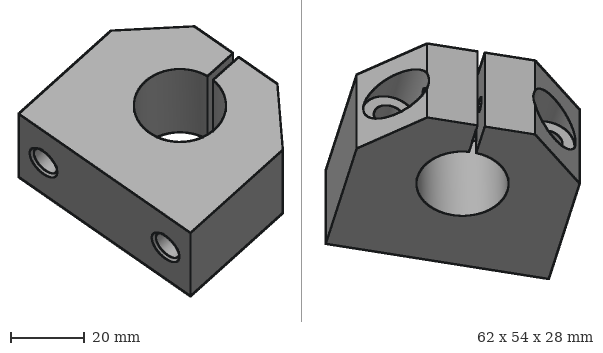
import cadquery as cq

width = 62.0
depth = 54.0
height = 28.0
corner_cut = 16.0
mid_height = height / 2

bore_diameter = 25.0
bore_center_y = 31.0
slot_width = 2.0

mounting_spacing = 44.0
mounting_diameter = 8.4
countersink_diameter = 10.0
countersink_depth = (countersink_diameter - mounting_diameter) / 2
counterbore_diameter = 15.0
counterbore_floor_y = depth - corner_cut

screw_diameter = 4.15
screw_from_back = 6.0


def make_block():
    """Block with its two back corners cut off at 45 degrees."""
    block = cq.Workplane("XY").box(width, depth, height, centered=(True, False, False))
    return block.edges("|Z and >Y").chamfer(corner_cut)


def make_bore_and_slot():
    """Vertical shaft bore, opened to the back face by the slot."""
    bore = cq.Workplane("XY").center(0, bore_center_y).circle(bore_diameter / 2).extrude(height)
    slot = (
        cq.Workplane("XY")
        .center(0, bore_center_y)
        .box(slot_width, depth - bore_center_y, height, centered=(True, False, False))
    )
    return bore.union(slot)


def make_mounting_hole(x):
    """Revolved hole: countersunk at the front, counterbored from the back."""
    hole_radius = mounting_diameter / 2
    counterbore_radius = counterbore_diameter / 2
    profile = (
        cq.Workplane("XY")
        .moveTo(0, 0)
        .lineTo(countersink_diameter / 2, 0)
        .lineTo(hole_radius, countersink_depth)
        .lineTo(hole_radius, counterbore_floor_y)
        .lineTo(counterbore_radius, counterbore_floor_y)
        .lineTo(counterbore_radius, depth)
        .lineTo(0, depth)
        .close()
    )
    return profile.revolve(360, (0, 0, 0), (0, 1, 0)).translate((x, 0, mid_height))


def make_screw_hole():
    """Clamp screw hole through both jaws."""
    return (
        cq.Workplane("YZ")
        .center(depth - screw_from_back, mid_height)
        .circle(screw_diameter / 2)
        .extrude(width / 2, both=True)
    )


result = make_block().cut(make_bore_and_slot())
for side in (-1, 1):
    result = result.cut(make_mounting_hole(side * mounting_spacing / 2))
result = result.cut(make_screw_hole())